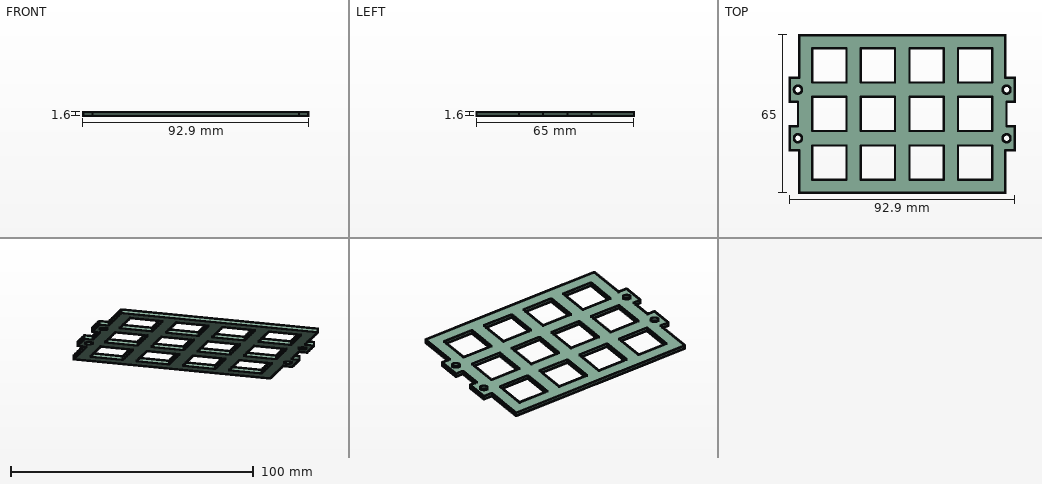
import cadquery as cq

plate_length = 85.0
plate_width = 65.0
thickness = 1.6

columns = 4
rows = 3
pitch = 20.0
opening_size = 14.0

overall_length = 92.9
tab_width = 10.0
tab_pitch = 20.0
hole_diameter = 3.2
hole_spacing_x = 86.0

strip_length = 86.0


def make_plate():
    """Rectangular plate resting on the Z = 0 plane."""
    return cq.Workplane("XY").box(plate_length, plate_width, thickness, centered=(True, True, False))


def add_tabs(plate):
    """Add two pairs of tabs, each pair being one bar that crosses the plate, and the strip between them."""
    for side in (-1, 1):
        tab_bar = (
            cq.Workplane("XY")
            .center(0, side * tab_pitch / 2)
            .box(overall_length, tab_width, thickness, centered=(True, True, False))
        )
        plate = plate.union(tab_bar)
    strip = cq.Workplane("XY").box(
        strip_length, tab_pitch - tab_width, thickness, centered=(True, True, False)
    )
    return plate.union(strip).clean()


def cut_openings(plate):
    """Cut the grid of square openings through the plate."""
    openings = (
        cq.Workplane("XY")
        .rarray(pitch, pitch, columns, rows)
        .rect(opening_size, opening_size)
        .extrude(thickness)
    )
    return plate.cut(openings)


def cut_mounting_holes(plate):
    """Drill one through hole in each tab."""
    holes = (
        cq.Workplane("XY")
        .rarray(hole_spacing_x, tab_pitch, 2, 2)
        .circle(hole_diameter / 2)
        .extrude(thickness)
    )
    return plate.cut(holes)


result = cut_mounting_holes(cut_openings(add_tabs(make_plate())))